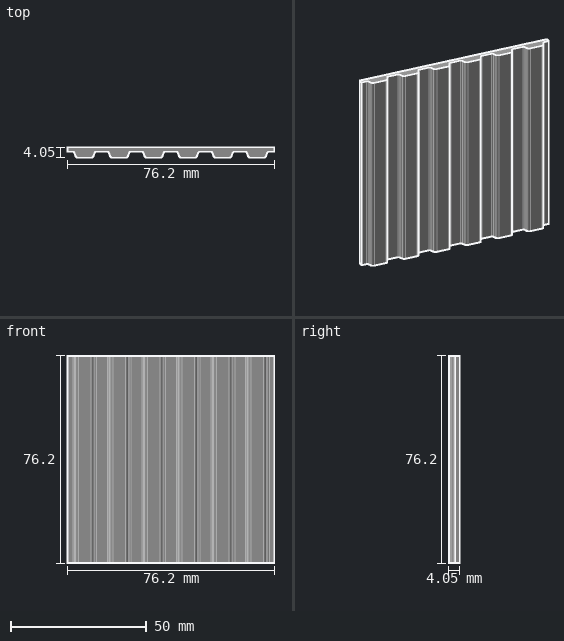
import cadquery as cq
import math

length = 76.2
width = 76.2
total_thickness = 4.05
tooth_height = 2.3
tooth_count = 6
tooth_root_width = 7.85
flank_angle = 20.0
root_radius = 0.7
tip_radius = 1.1

tooth_pitch = length / tooth_count
back_y = total_thickness / 2
tip_y = -total_thickness / 2
root_y = tip_y + tooth_height
half_root = tooth_root_width / 2
half_tip = half_root - tooth_height * math.tan(math.radians(flank_angle))


def belt_outline():
    """Sharp-cornered section of the backing and its teeth."""
    points = [(-length / 2, back_y), (-length / 2, root_y)]
    for index in range(tooth_count):
        center_x = -length / 2 + (index + 0.5) * tooth_pitch
        points += [
            (center_x - half_root, root_y),
            (center_x - half_tip, tip_y),
            (center_x + half_tip, tip_y),
            (center_x + half_root, root_y),
        ]
    points += [(length / 2, root_y), (length / 2, back_y)]
    return points


def round_edges(belt, edge_y, radius):
    """Round the tooth edges at height edge_y, leaving the belt's ends sharp."""
    margin = tooth_height / 10
    inside_ends = cq.selectors.BoxSelector(
        (-length / 2 + margin, edge_y - margin, -width),
        (length / 2 - margin, edge_y + margin, width),
    )
    return belt.edges("|Z").edges(inside_ends).fillet(radius)


belt = cq.Workplane("XY").polyline(belt_outline()).close().extrude(width / 2, both=True)
belt = round_edges(belt, root_y, root_radius)
result = round_edges(belt, tip_y, tip_radius)